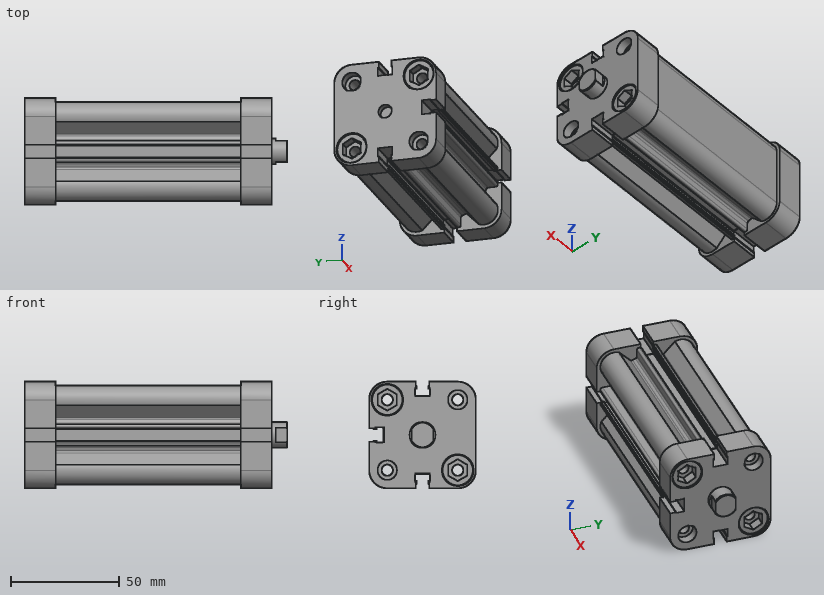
import cadquery as cq
import math

total_length = 121.5
width = 49.5
cap_thickness = 14.3
rod_protrusion = 7.2
half_width = width / 2
front_face_x = total_length - rod_protrusion
barrel_end_x = front_face_x - cap_thickness
barrel_length = barrel_end_x - cap_thickness

bolt_offset = 16.3
bolt_bore_diameter = 5.1
counterbore_diameter = 9.0
counterbore_depth = 4.9
head_diameter = 14.0
head_recess_diameter = 14.7
head_recess_depth = 6.1
head_setback = 0.5
hex_across_flats = 8.7
hex_depth = 5.5
screw_corners = [(-bolt_offset, bolt_offset), (bolt_offset, -bolt_offset)]
open_corners = [(bolt_offset, bolt_offset), (-bolt_offset, -bolt_offset)]

center_recess_diameter = 6.5
center_recess_depth = 3.6

cap_corner_radius = half_width - bolt_offset
cap_slot_width = 6.2
cap_slot_inner_width = 6.9
cap_slot_step_depth = 2.9
cap_slot_depth = 6.9

barrel_half_width = 23.0
tube_radius = barrel_half_width - bolt_offset
facet_start = 13.7
floor_radius = 18.2
valley_fillet = 1.0
lip_half_width = 5.0
lip_round = 1.1
lip_chamfer = 0.4
barrel_slot_opening = 5.5
barrel_slot_width = 6.9
barrel_lip_thickness = 1.7
barrel_slot_floor = 18.2
slot_corner_chamfer = 0.4

rod_diameter = 12.0
rod_flat_width = 10.0
rod_flat_length = 5.3
rod_chamfer = 0.4

slotted_sides = (0, 90, 180)


def section(x):
    """Work plane across the axis at x, with local x along Y and local y along Z."""
    return cq.Workplane("YZ", origin=(x, 0, 0))


def around_axis(body, angle):
    return body.rotate((0, 0, 0), (1, 0, 0), angle)


def cap_slot():
    """Stepped slot cutter for the +Z side, wider below its step."""
    upper = section(0).rect(cap_slot_width, 2 * cap_slot_depth).extrude(cap_thickness)
    lower_height = cap_slot_depth - cap_slot_step_depth
    lower = (
        section(0)
        .center(0, -cap_slot_step_depth - lower_height / 2)
        .rect(cap_slot_inner_width, lower_height)
        .extrude(cap_thickness)
    )
    return upper.union(lower).translate((0, 0, half_width))


def cap():
    """End cap with its outer face at x = 0."""
    body = section(0).rect(width, width).extrude(cap_thickness)
    body = body.edges("|X").fillet(cap_corner_radius)
    for angle in slotted_sides:
        body = body.cut(around_axis(cap_slot(), angle))

    bores = section(0).pushPoints(screw_corners + open_corners).circle(bolt_bore_diameter / 2)
    body = body.cut(bores.extrude(cap_thickness))
    counterbores = section(0).pushPoints(open_corners).circle(counterbore_diameter / 2)
    body = body.cut(counterbores.extrude(counterbore_depth))

    seats = section(0).pushPoints(screw_corners).circle(head_recess_diameter / 2)
    body = body.cut(seats.extrude(head_setback))
    rings = section(0).pushPoints(screw_corners).circle(head_recess_diameter / 2).circle(head_diameter / 2)
    body = body.cut(rings.extrude(head_recess_depth))
    hex_diameter = hex_across_flats / math.cos(math.pi / 6)
    for y, z in screw_corners:
        socket = section(0).polygon(6, hex_diameter).extrude(hex_depth)
        body = body.cut(around_axis(socket, 90).translate((0, y, z)))
    return body


def rear_cap():
    recess = section(0).circle(center_recess_diameter / 2).extrude(center_recess_depth)
    return cap().cut(recess)


def front_cap():
    """The cap mirrored to the rod end, with a bore for the rod."""
    body = cap().mirror("YZ").translate((front_face_x, 0, 0))
    bore = section(barrel_end_x).circle(rod_diameter / 2).extrude(cap_thickness)
    return body.cut(bore)


def floor_height(offset):
    """Height of the round valley floor above the axis, at a sideways offset."""
    return math.sqrt(floor_radius**2 - offset**2)


def valley(side):
    """Cutter on the +Z side between the slot lip and the corner tube, on side +1 or -1 of the slot."""
    facet_top = bolt_offset + math.sqrt(tube_radius**2 - (bolt_offset - facet_start) ** 2)

    rise = facet_top - facet_start
    facet_end = (math.sqrt(2 * floor_radius**2 - rise**2) - rise) / 2
    middle = (facet_end + lip_half_width) / 2
    outside = half_width
    groove = (
        section(cap_thickness)
        .moveTo(side * facet_start, outside)
        .lineTo(side * facet_start, facet_top)
        .lineTo(side * facet_end, floor_height(facet_end))
        .threePointArc(
            (side * middle, floor_height(middle)),
            (side * lip_half_width, floor_height(lip_half_width)),
        )
        .lineTo(side * lip_half_width, outside)
        .close()
        .extrude(barrel_length)
    )
    groove = groove.edges("|X").edges(">>Z[1]").fillet(lip_round)
    groove = groove.edges("|X").edges("<Z").fillet(valley_fillet)

    round_center = (side * (lip_half_width - lip_round), barrel_half_width - lip_round)
    corner = (
        section(cap_thickness)
        .center(*round_center)
        .center(side * lip_round / 2, lip_round / 2)
        .rect(lip_round, lip_round)
        .extrude(barrel_length)
    )
    disc = section(cap_thickness).center(*round_center).circle(lip_round).extrude(barrel_length)
    return groove.union(corner.cut(disc))


def barrel_slot():
    """T-slot cutter for the +Z side."""
    pocket_height = barrel_half_width - barrel_lip_thickness - barrel_slot_floor
    pocket = (
        section(cap_thickness)
        .center(0, barrel_slot_floor + pocket_height / 2)
        .rect(barrel_slot_width, pocket_height)
        .extrude(barrel_length)
        .edges("|X and <Z")
        .chamfer(slot_corner_chamfer)
    )
    opening_height = half_width - barrel_slot_floor
    opening = (
        section(cap_thickness)
        .center(0, barrel_slot_floor + opening_height / 2)
        .rect(barrel_slot_opening, opening_height)
        .extrude(barrel_length)
    )
    mouth_half = barrel_slot_opening / 2 + lip_chamfer
    mouth_bottom = barrel_half_width - mouth_half
    mouth = (
        section(cap_thickness)
        .polyline([(-mouth_half, barrel_half_width), (0, mouth_bottom), (mouth_half, barrel_half_width)])
        .close()
        .extrude(barrel_length)
    )
    return pocket.union(opening).union(mouth)


def barrel():
    """Profile tube between the caps, plain on the +Y side."""
    upright = section(cap_thickness).rect(2 * facet_start, 2 * barrel_half_width).extrude(barrel_length)
    body = upright.union(around_axis(upright, 90))
    plain_side = (
        section(cap_thickness)
        .center(barrel_half_width / 2, 0)
        .rect(barrel_half_width, 2 * bolt_offset)
        .extrude(barrel_length)
    )
    body = body.union(plain_side)
    for y, z in screw_corners + open_corners:
        tube = section(cap_thickness).center(y, z).circle(tube_radius).extrude(barrel_length)
        body = body.union(tube)
    for angle in slotted_sides:
        for cutter in (valley(1), valley(-1), barrel_slot()):
            body = body.cut(around_axis(cutter, angle))
    bores = section(cap_thickness).pushPoints(screw_corners + open_corners).circle(bolt_bore_diameter / 2)
    return body.cut(bores.extrude(barrel_length))


def piston_rod():
    """Rod through the front cap, with two wrench flats facing -Y and +Y."""
    body = section(barrel_end_x).circle(rod_diameter / 2).extrude(cap_thickness + rod_protrusion)
    body = body.faces(">X").chamfer(rod_chamfer)
    flats = (
        section(total_length - rod_flat_length)
        .rect(2 * rod_diameter, 2 * rod_diameter)
        .rect(rod_flat_width, 2 * rod_diameter)
        .extrude(rod_flat_length)
    )
    return body.cut(flats)


result = cq.Compound.makeCompound(
    [rear_cap().val(), barrel().val(), front_cap().val(), piston_rod().val()]
)